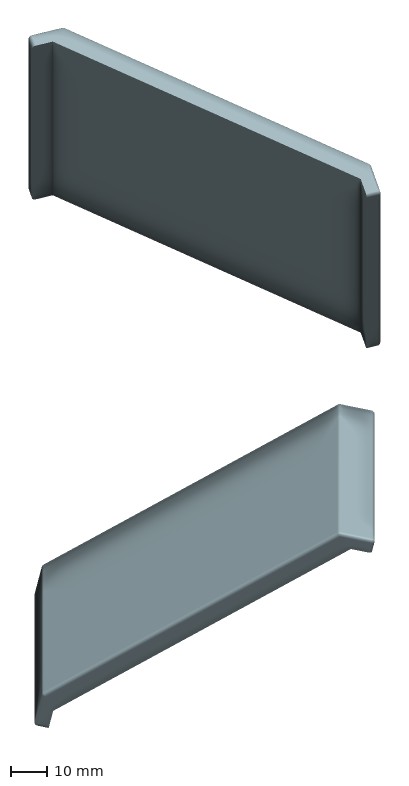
import cadquery as cq

SIDE = 78.75
HEIGHT = 74.0
FLANGE_THICKNESS = 4.2
OUTER_FLANGE = 10.3
INNER_FLANGE = 6.0
EDGE_RADIUS = 1.0

flange_end = (0, 0)
lower_bend = (0, OUTER_FLANGE)
upper_bend = (SIDE - OUTER_FLANGE, SIDE)
upper_end = (SIDE, SIDE)
inner_upper_end = (SIDE, SIDE - FLANGE_THICKNESS)
inner_upper_bend = (SIDE - INNER_FLANGE, SIDE - FLANGE_THICKNESS)
inner_lower_bend = (FLANGE_THICKNESS, INNER_FLANGE)
inner_flange_end = (FLANGE_THICKNESS, 0)

plate = (
    cq.Workplane("XY")
    .polyline([
        flange_end,
        lower_bend,
        upper_bend,
        upper_end,
        inner_upper_end,
        inner_upper_bend,
        inner_lower_bend,
        inner_flange_end,
    ])
    .close()
    .extrude(HEIGHT)
)

outer_web = cq.selectors.NearestToPointSelector((
    (lower_bend[0] + upper_bend[0]) / 2,
    (lower_bend[1] + upper_bend[1]) / 2,
    HEIGHT / 2,
))
outer_skin_edges = plate.faces("<X or >Y").edges().add(plate.faces(outer_web).edges())
flange_end_rims = plate.faces(">X or <Y").edges("#Z")
result = plate.newObject(outer_skin_edges.vals() + flange_end_rims.vals()).fillet(EDGE_RADIUS)